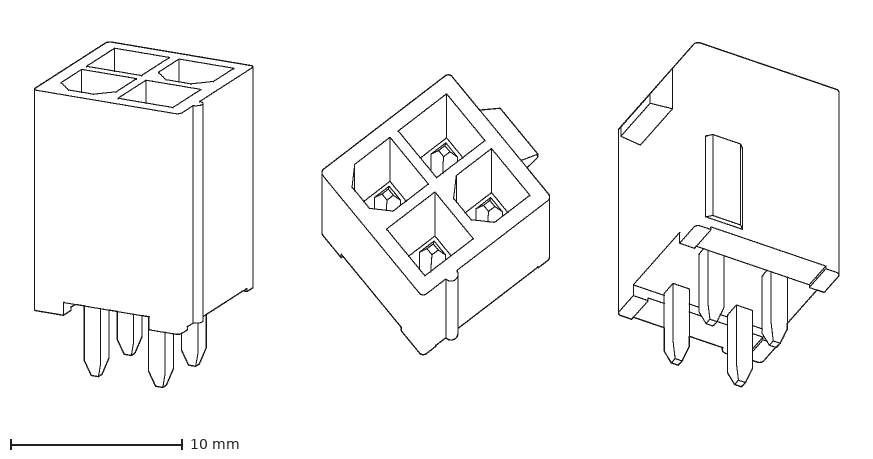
import cadquery as cq
import math

total_width = 10.3
total_depth = 11.0
total_height = 18.06

body_side = 9.6
body_height = 13.6
corner_radius = 0.29
half_side = body_side / 2

deep_relief_width = 5.6
deep_relief_height = 0.8
shallow_relief_width = 7.62
shallow_relief_height = 0.2

pitch = 4.2
cavity_side = 3.6
cavity_depth = 10.0
key_chamfer = 0.98

pin_width = 1.08
pin_tip_width = 0.47
pin_tip_length = 0.98
pin_top_recess = 3.97
pin_bottom = body_height - total_height
pin_offset_y = 0.2

latch_reach = total_depth - body_side
latch_base_width = 3.88
latch_end_width = 3.54
latch_height = 3.02
latch_ramp_height = 2.33

tab_thickness = 0.3
tab_width = 2.45
tab_height = 6.01
tab_from_back = 0.63
tab_from_top = 6.77

rib_reach = total_width - body_side - tab_thickness
rib_radius = 0.42
rib_from_front = 2.15
rib_bottom = 0.2


def make_housing():
    housing = cq.Workplane("XY").rect(body_side, body_side).extrude(body_height)
    housing = housing.edges("|Z").fillet(corner_radius)
    deep_relief = cq.Workplane("XY").rect(deep_relief_width, body_side).extrude(deep_relief_height)
    shallow_relief = cq.Workplane("XY").rect(body_side, shallow_relief_width).extrude(shallow_relief_height)
    return housing.cut(deep_relief).cut(shallow_relief)


def make_cavity(x, y, keyed):
    """Square pocket open at the top; a keyed one has its two front corners cut off."""
    cavity = (
        cq.Workplane("XY", origin=(x, y, body_height - cavity_depth))
        .rect(cavity_side, cavity_side)
        .extrude(cavity_depth)
    )
    if keyed:
        cavity = cavity.faces("<Y").edges("|Z").chamfer(key_chamfer)
    return cavity


def make_pin_tip(x, y, base_z, direction):
    """Square taper starting at base_z and pointing up (+1) or down (-1)."""
    return (
        cq.Workplane("XY", origin=(x, y, base_z))
        .rect(pin_width, pin_width)
        .workplane(offset=direction * pin_tip_length)
        .rect(pin_tip_width, pin_tip_width)
        .loft(ruled=True)
    )


def make_pin(x, y):
    shank_bottom = pin_bottom + pin_tip_length
    shank_top = body_height - pin_top_recess - pin_tip_length
    shank = (
        cq.Workplane("XY", origin=(x, y, shank_bottom))
        .rect(pin_width, pin_width)
        .extrude(shank_top - shank_bottom)
    )
    lower_tip = make_pin_tip(x, y, shank_bottom, -1)
    upper_tip = make_pin_tip(x, y, shank_top, 1)
    return shank.union(lower_tip).union(upper_tip)


def make_latch():
    """Ramp with tapering sides: the side profile limited by the plan outline."""
    ramp = (
        cq.Workplane("YZ", origin=(-latch_base_width / 2, half_side, body_height))
        .polyline([
            (0, 0),
            (latch_reach, -latch_ramp_height),
            (latch_reach, -latch_height),
            (0, -latch_height),
        ])
        .close()
        .extrude(latch_base_width)
    )
    plan = (
        cq.Workplane("XY", origin=(0, half_side, body_height - latch_height))
        .polyline([
            (-latch_base_width / 2, 0),
            (latch_base_width / 2, 0),
            (latch_end_width / 2, latch_reach),
            (-latch_end_width / 2, latch_reach),
        ])
        .close()
        .extrude(latch_height)
    )
    return ramp.intersect(plan)


def make_tab():
    """Flat tab whose long outer edges are bevelled at 45 degrees over its full thickness."""
    back_y = half_side - tab_from_back
    front_y = back_y - tab_width
    outer_x = -half_side - tab_thickness
    return (
        cq.Workplane("XY", origin=(0, 0, body_height - tab_from_top - tab_height))
        .polyline([
            (-half_side, back_y),
            (outer_x, back_y - tab_thickness),
            (outer_x, front_y + tab_thickness),
            (-half_side, front_y),
        ])
        .close()
        .extrude(tab_height)
    )


def make_rib():
    """Upright bead: the part of a circle that stands out from the right face."""
    center_y = rib_from_front - half_side
    inset = rib_radius - rib_reach
    half_chord = math.sqrt(rib_radius**2 - inset**2)
    return (
        cq.Workplane("XY", origin=(half_side, center_y, rib_bottom))
        .moveTo(0, -half_chord)
        .threePointArc((rib_reach, 0), (0, half_chord))
        .close()
        .extrude(body_height - rib_bottom)
    )


result = make_housing().union(make_latch()).union(make_tab()).union(make_rib())

for side_x in (-1, 1):
    for side_y in (-1, 1):
        is_keyed = side_x == side_y
        result = result.cut(make_cavity(side_x * pitch / 2, side_y * pitch / 2, is_keyed))

for side_x in (-1, 1):
    for side_y in (-1, 1):
        result = result.union(make_pin(side_x * pitch / 2, side_y * pitch / 2 + pin_offset_y))